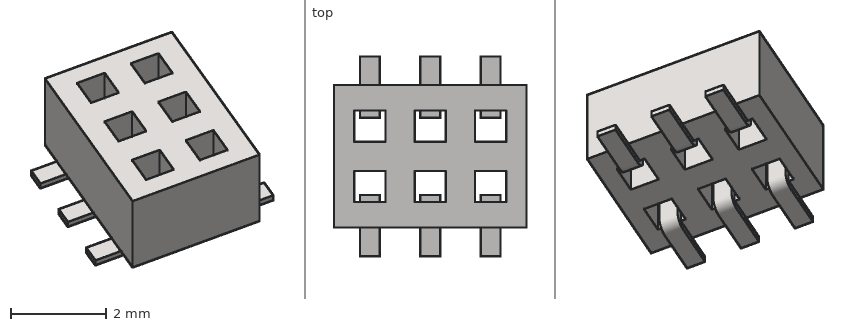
import cadquery as cq

housing_length = 4.05
housing_width = 3.0
housing_height = 2.0

column_count = 3
pitch = 1.27
row_sides = (-1, 1)
socket_size = 0.65

lead_span = 4.2
lead_width = 0.425
lead_thickness = 0.15
bend_radius = 0.25
contact_height = housing_height / 2

contact_top = lead_thickness + contact_height
lead_tip = lead_span / 2
contact_outer = pitch / 2 + socket_size / 2
contact_inner = contact_outer - lead_thickness
column_positions = [(i - (column_count - 1) / 2) * pitch for i in range(column_count)]


def make_housing():
    """Rectangular block with a square socket through it for each contact."""
    block = (
        cq.Workplane("XY", origin=(0, 0, lead_thickness))
        .rect(housing_length, housing_width)
        .extrude(housing_height)
    )
    sockets = (
        cq.Workplane("XY", origin=(0, 0, lead_thickness))
        .pushPoints([(x, side * pitch / 2) for x in column_positions for side in row_sides])
        .rect(socket_size, socket_size)
        .extrude(housing_height)
    )
    return block.cut(sockets)


def make_lead(x, side):
    """L-shaped lead: flat foot under the housing, contact leg up the outer socket wall."""
    return (
        cq.Workplane("YZ", origin=(x, 0, 0))
        .moveTo(side * lead_tip, 0)
        .lineTo(side * (contact_inner + bend_radius), 0)
        .tangentArcPoint((side * contact_inner, bend_radius), relative=False)
        .lineTo(side * contact_inner, contact_top)
        .lineTo(side * contact_outer, contact_top)
        .lineTo(side * contact_outer, lead_thickness)
        .lineTo(side * lead_tip, lead_thickness)
        .close()
        .extrude(lead_width / 2, both=True)
    )


housing = make_housing()
leads = [make_lead(x, side) for x in column_positions for side in row_sides]

result = cq.Compound.makeCompound([housing.val(), *[lead.val() for lead in leads]])